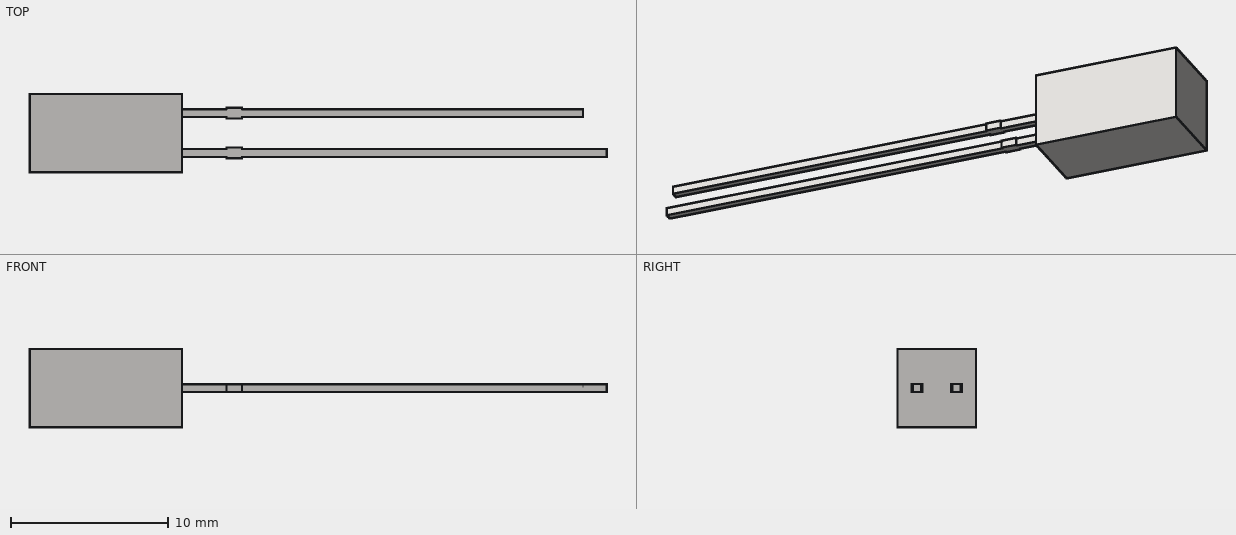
import cadquery as cq

total_length = 36.7
body_length = 9.7
body_side = 5.0

lead_pitch = 2.55
lead_side = 0.5
short_lead_setback = 1.5

collar_gap = 2.83
collar_length = 1.0
collar_width = 0.7


def block_along_x(start, end, width, height, center_y=0.0):
    """Box from start to end along X, centred on center_y and on Z = 0."""
    block = cq.Workplane("XY").box(end - start, width, height, centered=(False, True, True))
    return block.translate((start, center_y, 0))


def lead(end, center_y):
    """Square lead from the body face to end, with its collar."""
    collar_start = body_length + collar_gap
    collar_end = collar_start + collar_length
    wire = block_along_x(body_length, end, lead_side, lead_side, center_y)
    collar = block_along_x(collar_start, collar_end, collar_width, lead_side, center_y)
    return wire.union(collar)


body = block_along_x(0, body_length, body_side, body_side)
long_lead = lead(total_length, -lead_pitch / 2)
short_lead = lead(total_length - short_lead_setback, lead_pitch / 2)

result = body.union(long_lead).union(short_lead)